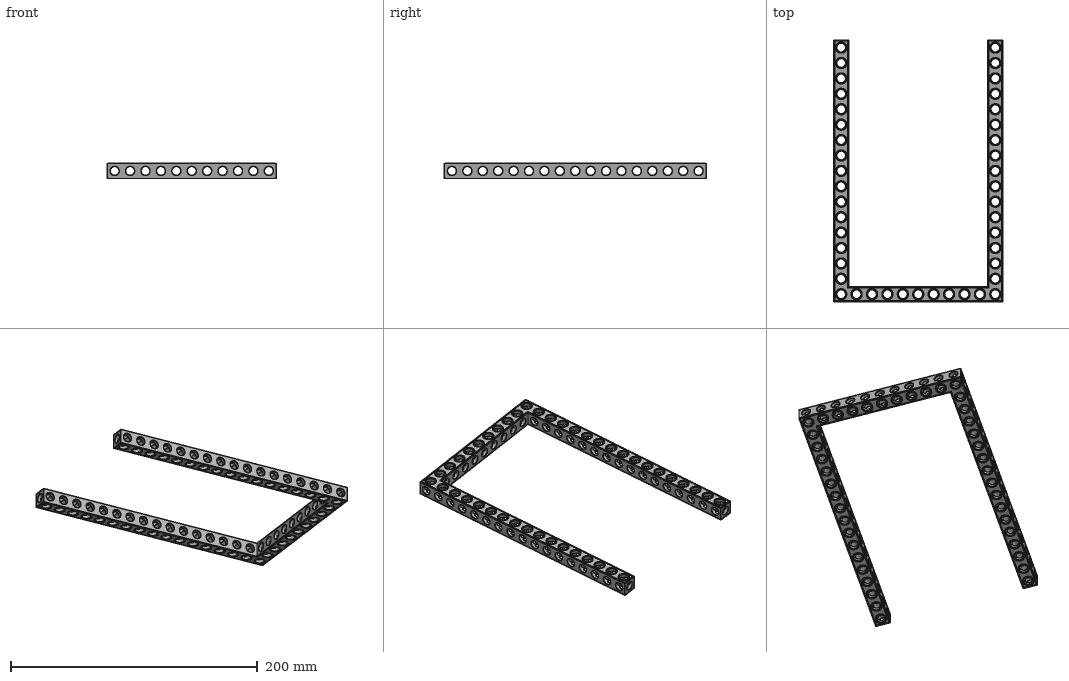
import cadquery as cq

length_y = 212.5
cells_y = 17
cells_x = 11
pitch = length_y / cells_y
width_x = cells_x * pitch
last_column = cells_x - 1

step = 0.3
mouth_depth = step / 2
hole_diameter = 7.0
lip_diameter = hole_diameter + 2 * step
mouth_diameter = 9.1
outer_inset = (mouth_diameter - hole_diameter) / 2

ALONG_X = cq.Vector(1, 0, 0)
ALONG_Y = cq.Vector(0, 1, 0)
ALONG_Z = cq.Vector(0, 0, 1)


def u_layer(inset, bottom):
    """U-shaped slab, open toward +Y and inset on every side, symmetric about mid height."""
    left, right = inset, width_x - inset
    inner_left, inner_right = pitch - inset, width_x - pitch + inset
    front, inner_front, tip = inset, pitch - inset, length_y - inset
    outline = [
        (left, front),
        (right, front),
        (right, tip),
        (inner_right, tip),
        (inner_right, inner_front),
        (inner_left, inner_front),
        (inner_left, tip),
        (left, tip),
    ]
    height = pitch - 2 * bottom
    return cq.Workplane("XY").workplane(offset=bottom).polyline(outline).close().extrude(height)


def make_frame():
    """Square bar bent into a U, with two steps along its top and bottom edges."""
    middle = u_layer(0, step)
    ledge = u_layer(step, mouth_depth)
    top_and_bottom = u_layer(outer_inset, 0)
    return middle.union(ledge).union(top_and_bottom)


def corner_notches():
    """Square notches along the convex upright edges."""
    leg_right = pitch - step
    leg_left = width_x - pitch
    far_right = width_x - step
    tip = length_y - step
    spots = [(0, 0), (far_right, 0)] + [(x, tip) for x in (0, leg_right, leg_left, far_right)]
    size = (step, step, pitch)
    return [cq.Solid.makeBox(*size, cq.Vector(x, y, 0)) for x, y in spots]


def cell_center(index):
    return (index + 0.5) * pitch


def bore(diameter, start, direction, depth):
    return cq.Solid.makeCylinder(diameter / 2, depth, start, direction)


def lipped_hole(start, direction, depth):
    """Through hole with a shallow wider lip at both ends."""
    far_lip = start + direction * (depth - step)
    return [
        bore(hole_diameter, start, direction, depth),
        bore(lip_diameter, start, direction, step),
        bore(lip_diameter, far_lip, direction, step),
    ]


def upright_hole(column, row):
    """Vertical through hole whose mouths narrow in two steps."""
    start = cq.Vector(cell_center(column), cell_center(row), 0)
    upper_mouth = start + ALONG_Z * (pitch - mouth_depth)
    upper_lip = start + ALONG_Z * (pitch - step)
    return [
        bore(hole_diameter, start, ALONG_Z, pitch),
        bore(lip_diameter, start, ALONG_Z, step),
        bore(lip_diameter, upper_lip, ALONG_Z, step),
        bore(mouth_diameter, start, ALONG_Z, mouth_depth),
        bore(mouth_diameter, upper_mouth, ALONG_Z, mouth_depth),
    ]


cuts = corner_notches()

for column in (0, last_column):
    for row in range(cells_y):
        cuts += upright_hole(column, row)
    for row in range(1, cells_y):
        cuts += lipped_hole(cq.Vector(column * pitch, cell_center(row), pitch / 2), ALONG_X, pitch)

for column in range(1, last_column):
    cuts += upright_hole(column, 0)
    cuts += lipped_hole(cq.Vector(cell_center(column), 0, pitch / 2), ALONG_Y, pitch)

cuts += lipped_hole(cq.Vector(0, cell_center(0), pitch / 2), ALONG_X, width_x)
for column in (0, last_column):
    cuts += lipped_hole(cq.Vector(cell_center(column), 0, pitch / 2), ALONG_Y, length_y)

result = cq.Workplane(obj=make_frame().val().cut(*cuts))